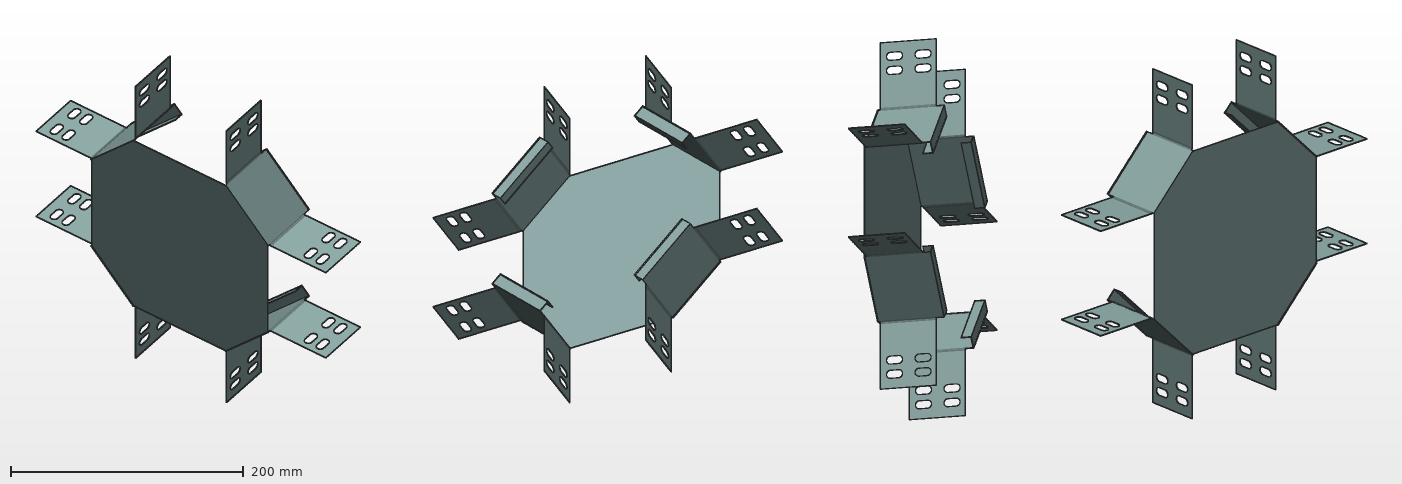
import cadquery as cq
import math


SPAN = 310.0
WALL_HEIGHT = 59.5
SHEET = 0.75

BASE_HALF = 94.2
BEND_REACH = 95.5
CHANNEL_HALF = 49.0
BEND_RADIUS = 1.5
BEND_ANGLE = 45.0

TAB_BOTTOM = 2.2
TAB_TOP = 52.0

LIP_WIDTH = 11.0
LIP_DROP = 9.3

SLOT_WIDTH = 7.0
SLOT_LENGTH = 14.3
SLOT_END_DISTANCES = (12.7, 25.5)
SLOT_HEIGHTS = (15.0, 40.3)

HALF_SPAN = SPAN / 2
WALL_OFFSET = (BEND_REACH + CHANNEL_HALF) / math.sqrt(2)
BEND_SETBACK = BEND_RADIUS * math.tan(math.radians(BEND_ANGLE / 2))
WALL_LENGTH = (BEND_REACH - CHANNEL_HALF) * math.sqrt(2) - 2 * BEND_SETBACK


def block(x_range, y_range, z_range):
    """Box between the given limits."""
    size = [high - low for low, high in (x_range, y_range, z_range)]
    corner = (x_range[0], y_range[0], z_range[0])
    return cq.Workplane("XY").box(*size, centered=False).translate(corner)


def make_base():
    """Octagonal base: a square trimmed to the outer faces of the corner walls."""
    square = block((-BASE_HALF, BASE_HALF), (0, SHEET), (-BASE_HALF, BASE_HALF))
    trim = block((-WALL_OFFSET, WALL_OFFSET), (0, SHEET), (-WALL_OFFSET, WALL_OFFSET))
    return square.intersect(trim.rotate((0, 0, 0), (0, 1, 0), 45))


def make_corner_wall():
    """Diagonal wall in the +X +Z corner, with its hooked lip."""
    along = (-WALL_LENGTH / 2, WALL_LENGTH / 2)
    top = WALL_HEIGHT
    lip_edge = WALL_OFFSET - LIP_WIDTH
    wall = block((WALL_OFFSET - SHEET, WALL_OFFSET), (0, top), along)
    lip = block((lip_edge - SHEET, WALL_OFFSET), (top - SHEET, top), along)
    drop = block((lip_edge - SHEET, lip_edge), (top - LIP_DROP, top), along)
    return wall.union(lip).union(drop).rotate((0, 0, 0), (0, 1, 0), -45)


def make_tab():
    """Slotted coupling tab running along +X, with the bend that joins it to the corner wall."""
    bend_x = BEND_REACH + BEND_SETBACK
    bend_z = CHANNEL_HALF + BEND_RADIUS

    def bend_point(radius, turn):
        """Point on the bend, as X and Z, after turning from the tab towards the wall."""
        angle = math.radians(turn)
        return (bend_x - radius * math.sin(angle), bend_z - radius * math.cos(angle))

    convex_radius = BEND_RADIUS + SHEET
    tab = (
        cq.Workplane("XZ", origin=(0, TAB_TOP, 0))
        .moveTo(HALF_SPAN, CHANNEL_HALF)
        .lineTo(*bend_point(BEND_RADIUS, 0))
        .threePointArc(bend_point(BEND_RADIUS, BEND_ANGLE / 2), bend_point(BEND_RADIUS, BEND_ANGLE))
        .lineTo(*bend_point(convex_radius, BEND_ANGLE))
        .threePointArc(bend_point(convex_radius, BEND_ANGLE / 2), bend_point(convex_radius, 0))
        .lineTo(HALF_SPAN, CHANNEL_HALF - SHEET)
        .close()
        .extrude(TAB_TOP - TAB_BOTTOM)
    )
    centres = [(HALF_SPAN - end, height) for end in SLOT_END_DISTANCES for height in SLOT_HEIGHTS]
    slots = (
        cq.Workplane("XY")
        .workplane(offset=CHANNEL_HALF - 2 * SHEET)
        .pushPoints(centres)
        .slot2D(SLOT_LENGTH, SLOT_WIDTH, 90)
        .extrude(3 * SHEET)
    )
    return tab.cut(slots)


tab = make_tab()
corner = make_corner_wall().union(tab).union(tab.mirror("XY").rotate((0, 0, 0), (0, 1, 0), -90))

result = make_base()
for quarter in range(4):
    result = result.union(corner.rotate((0, 0, 0), (0, 1, 0), 90 * quarter))